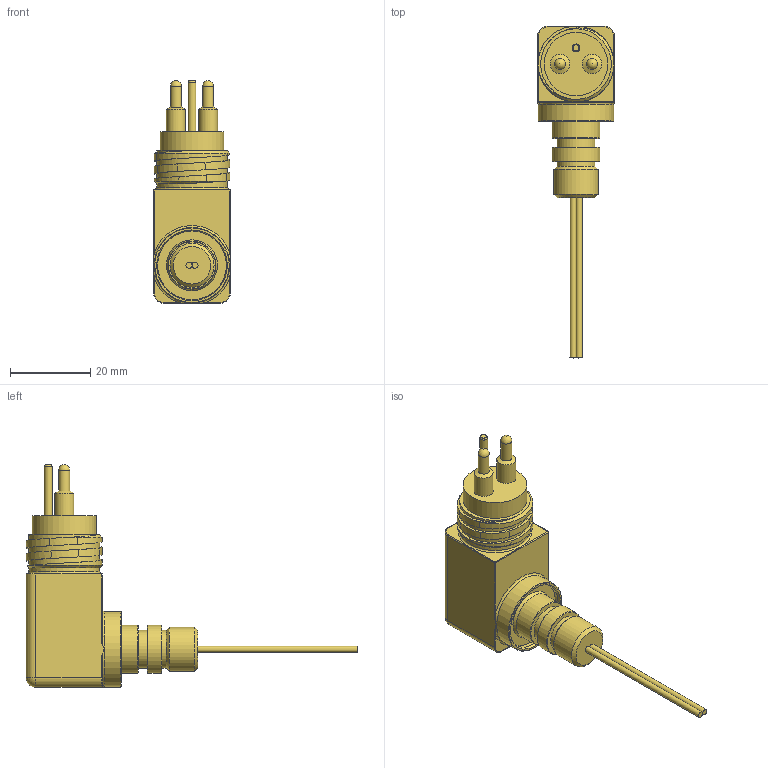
import cadquery as cq
import math

block_width = 19.05
block_height = 28.5
block_round = 2.4
block_edge_break = 0.22

neck_root_dia = 17.63
neck_fillet = 0.4
neck_embedment = 2.0
thread_crest_dia = 18.92
thread_pitch = 3.175
thread_crest_width = 1.85
thread_bottom_z = 29.85
thread_top_z = 38.1
thread_crest_z_at_x = 34.86
thread_root_overlap = 0.3

insert_dia = 15.88
insert_top_z = 42.86
contact_offset = 4.0
sleeve_dia = 4.8
sleeve_edge_z = 48.5
sleeve_top_z = 49.0
pin_dia = 2.78
overall_height = 55.56
guide_pin_dia = 1.98
guide_pin_tip_dia = 1.52
guide_pin_tip_height = 0.45

front_y = -block_width / 2
gland_axis_z = 9.49
collar_dia = 18.85
collar_fillet = 0.5
collar_length = 4.76
recess_mouth_dia = 17.63
recess_dia = 17.14
recess_mouth_depth = 0.6
recess_depth = 1.6
stem_dia = 11.94
stem_root_dia = 12.7
stem_root_length = 0.8
groove_dia = 9.4
first_groove_start = 9.0
first_groove_end = 11.25
second_groove_start = 14.8
cap_cone_start = 15.95
cap_start = 16.7
cap_dia = 11.02
cap_chamfer = (cap_dia - groove_dia) / 2
gland_length = 23.8
gland_edge_break = 0.12
gland_embedment = 2.0

wire_dia = 1.52
wire_spacing = 1.5
overall_length = 82.85


def cylinder(diameter, z_start, z_end, y=0.0):
    return cq.Workplane("XY", origin=(0, y, z_start)).circle(diameter / 2).extrude(z_end - z_start)


def make_block():
    block = cq.Workplane("XY").box(block_width, block_width, block_height, centered=(True, True, False))
    block = block.edges("(>Y and |Z) or (<Z and (>X or <X or >Y))").fillet(block_round)
    return block.faces("<Y or >Z").edges().fillet(block_edge_break)


def make_thread():
    """Right-handed ridge of rectangular section, trimmed by 45 degree cones at both ends."""
    root_radius = neck_root_dia / 2
    crest_radius = thread_crest_dia / 2
    thread_depth = crest_radius - root_radius
    turns_below = math.ceil((thread_crest_z_at_x - thread_bottom_z) / thread_pitch) + 1
    turns_above = math.ceil((thread_top_z - thread_crest_z_at_x) / thread_pitch) + 1
    start_z = thread_crest_z_at_x - turns_below * thread_pitch
    helix_height = (turns_below + turns_above) * thread_pitch

    helix = cq.Wire.makeHelix(thread_pitch, helix_height, root_radius, cq.Vector(0, 0, start_z))
    section_depth = thread_depth + thread_root_overlap
    ridge = (
        cq.Workplane("XZ", origin=(crest_radius - section_depth / 2, 0, start_z))
        .rect(section_depth, thread_crest_width)
        .sweep(cq.Workplane(helix), isFrenet=True)
    )
    kept_envelope = (
        cq.Workplane("XZ")
        .moveTo(0, thread_bottom_z)
        .lineTo(root_radius, thread_bottom_z)
        .lineTo(crest_radius, thread_bottom_z + thread_depth)
        .lineTo(crest_radius, thread_top_z - thread_depth)
        .lineTo(root_radius, thread_top_z)
        .lineTo(0, thread_top_z)
        .close()
        .revolve(360, (0, 0, 0), (0, 1, 0))
    )
    trimmer = cylinder(1.5 * thread_crest_dia, 0, overall_height).cut(kept_envelope)
    return ridge.cut(trimmer)


def make_neck():
    """Plain root cylinder of the thread, blended into the top of the block."""
    root_radius = neck_root_dia / 2
    bend = (1 - math.sqrt(0.5)) * neck_fillet
    return (
        cq.Workplane("XZ")
        .moveTo(0, block_height - neck_embedment)
        .lineTo(root_radius, block_height - neck_embedment)
        .lineTo(root_radius + neck_fillet, block_height)
        .threePointArc(
            (root_radius + bend, block_height + bend),
            (root_radius, block_height + neck_fillet),
        )
        .lineTo(root_radius, thread_top_z)
        .lineTo(0, thread_top_z)
        .close()
        .revolve(360, (0, 0, 0), (0, 1, 0))
    )


def make_contact(x):
    """Power contact: insulating sleeve with a conical shoulder and a round-nosed pin."""
    pin_radius = pin_dia / 2
    sleeve_radius = sleeve_dia / 2
    nose_z = overall_height - pin_radius
    nose_mid = pin_radius * math.sqrt(0.5)
    return (
        cq.Workplane("XZ", origin=(x, 0, 0))
        .moveTo(0, thread_top_z)
        .lineTo(sleeve_radius, thread_top_z)
        .lineTo(sleeve_radius, sleeve_edge_z)
        .lineTo(pin_radius, sleeve_top_z)
        .lineTo(pin_radius, nose_z)
        .threePointArc((nose_mid, nose_z + nose_mid), (0, overall_height))
        .close()
        .revolve(360, (0, 0, 0), (0, 1, 0))
    )


def make_guide_pin():
    pin = cylinder(guide_pin_dia, thread_top_z, overall_height, y=contact_offset)
    tip_inset = (guide_pin_dia - guide_pin_tip_dia) / 2
    return pin.faces(">Z").chamfer(guide_pin_tip_height, tip_inset)


def make_gland():
    """Recessed collar, grooved stem with a conical root, and end cap, turned in one piece."""
    collar_radius = collar_dia / 2
    stem_radius = stem_dia / 2
    groove_radius = groove_dia / 2
    cap_radius = cap_dia / 2
    broken_radius = stem_radius - gland_edge_break
    floor = collar_length - recess_depth
    bend = (1 - math.sqrt(0.5)) * collar_fillet
    gland = (
        cq.Workplane("XY", origin=(0, front_y, gland_axis_z))
        .moveTo(0, gland_embedment)
        .lineTo(collar_radius - gland_embedment, gland_embedment)
        .lineTo(collar_radius + collar_fillet, 0)
        .threePointArc(
            (collar_radius + bend, -bend),
            (collar_radius, -collar_fillet),
        )
        .lineTo(collar_radius, gland_edge_break - collar_length)
        .lineTo(collar_radius - gland_edge_break, -collar_length)
        .lineTo(recess_mouth_dia / 2, -collar_length)
        .lineTo(recess_dia / 2, recess_mouth_depth - collar_length)
        .lineTo(recess_dia / 2, -floor)
        .lineTo(stem_root_dia / 2, -floor)
        .lineTo(stem_radius, -floor - stem_root_length)
        .lineTo(stem_radius, gland_edge_break - first_groove_start)
        .lineTo(broken_radius, -first_groove_start)
        .lineTo(groove_radius, -first_groove_start)
        .lineTo(groove_radius, -first_groove_end)
        .lineTo(broken_radius, -first_groove_end)
        .lineTo(stem_radius, -first_groove_end - gland_edge_break)
        .lineTo(stem_radius, gland_edge_break - second_groove_start)
        .lineTo(broken_radius, -second_groove_start)
        .lineTo(groove_radius, -second_groove_start)
        .lineTo(groove_radius, -cap_cone_start)
        .lineTo(cap_radius, -cap_start)
        .lineTo(cap_radius, cap_chamfer - gland_length)
        .lineTo(cap_radius - cap_chamfer, -gland_length)
        .lineTo(0, -gland_length)
        .close()
        .revolve(360, (0, 0, 0), (0, 1, 0))
    )
    block_outline = cq.Workplane("XY").box(
        block_width, 2 * overall_length, block_height, centered=(True, True, False)
    )
    return gland.intersect(block_outline)


def make_wire(x):
    wire_start_y = front_y - gland_length / 2
    wire_end_y = block_width / 2 - overall_length
    return (
        cq.Workplane("XZ", origin=(x, wire_start_y, gland_axis_z))
        .circle(wire_dia / 2)
        .extrude(wire_start_y - wire_end_y)
    )


result = make_neck().union(make_thread()).union(make_block())
result = result.union(cylinder(insert_dia, block_height, insert_top_z))
for contact_x in (-contact_offset, contact_offset):
    result = result.union(make_contact(contact_x))
result = result.union(make_guide_pin()).union(make_gland())
for wire_x in (-wire_spacing / 2, wire_spacing / 2):
    result = result.union(make_wire(wire_x))